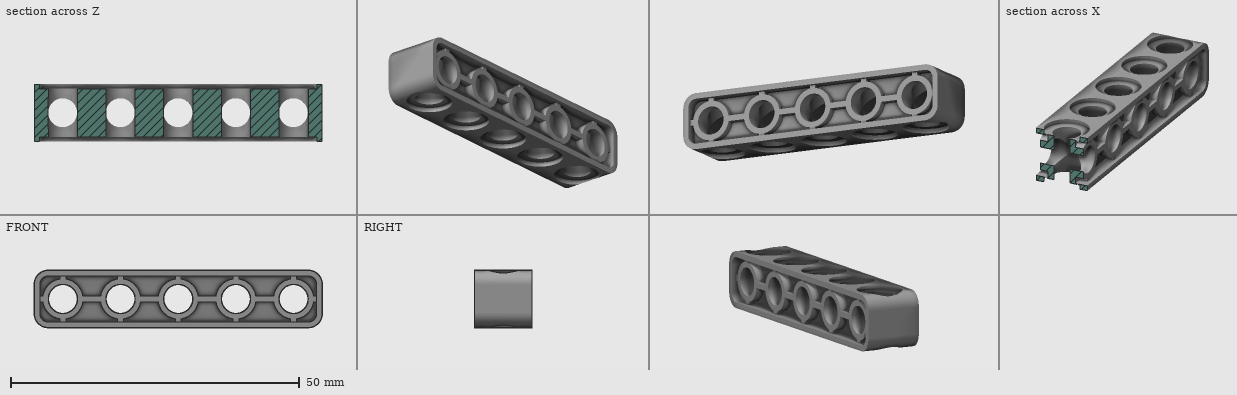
import cadquery as cq

hole_count = 5
pitch = 10.0
width = 10.0
height = 10.0
length = hole_count * pitch
corner_radius = 2.5

wall = 1.0
web_thickness = 5.4
pocket_depth = (width - web_thickness) / 2
pocket_corner_radius = corner_radius - wall

hole_diameter = 5.0
tube_diameter = 7.0
tube_recess = 0.8
tube_length = width - 2 * tube_recess
rib_thickness = 1.0
counterbore_diameter = 8.0
counterbore_depth = 0.8

hole_positions = [(i - (hole_count - 1) / 2) * pitch for i in range(hole_count)]
hole_points = [(x, 0) for x in hole_positions]


def rounded_bar(bar_length, bar_height, radius, bar_width):
    """Bar centred on the origin, with its four Y-parallel edges rounded."""
    return cq.Workplane("XY").box(bar_length, bar_width, bar_height).edges("|Y").fillet(radius)


def frame():
    """Outer wall of the beam, joined by a solid web at mid-width."""
    inner_length = length - 2 * wall
    inner_height = height - 2 * wall
    body = rounded_bar(length, height, corner_radius, width)
    opening = rounded_bar(inner_length, inner_height, pocket_corner_radius, pocket_depth)
    offset = (web_thickness + pocket_depth) / 2
    for side in (-1, 1):
        body = body.cut(opening.translate((0, side * offset, 0)))
    return body


def tubes_and_ribs():
    """Cross tubes tied to the frame by one long rib and an upright rib at each tube.

    The ribs end halfway into the outer wall so that they merge with it.
    """
    supports = (
        cq.Workplane("XZ")
        .pushPoints(hole_points)
        .circle(tube_diameter / 2)
        .extrude(tube_length / 2, both=True)
    )
    long_rib = cq.Workplane("XY").box(length - wall, tube_length, rib_thickness)
    supports = supports.union(long_rib)
    for x in hole_positions:
        upright = cq.Workplane("XY").box(rib_thickness, tube_length, height - wall)
        supports = supports.union(upright.translate((x, 0, 0)))
    return supports


def cross_holes():
    """Through holes along Y, one in each tube."""
    return (
        cq.Workplane("XZ")
        .pushPoints(hole_points)
        .circle(hole_diameter / 2)
        .extrude(width / 2, both=True)
    )


def vertical_holes():
    """Through holes along Z, counterbored at the top and the bottom."""
    holes = (
        cq.Workplane("XY")
        .pushPoints(hole_points)
        .circle(hole_diameter / 2)
        .extrude(height / 2, both=True)
    )
    for counterbore_floor in (-height / 2, height / 2 - counterbore_depth):
        counterbores = (
            cq.Workplane("XY")
            .workplane(offset=counterbore_floor)
            .pushPoints(hole_points)
            .circle(counterbore_diameter / 2)
            .extrude(counterbore_depth)
        )
        holes = holes.union(counterbores)
    return holes


result = frame().union(tubes_and_ribs()).cut(cross_holes()).cut(vertical_holes())